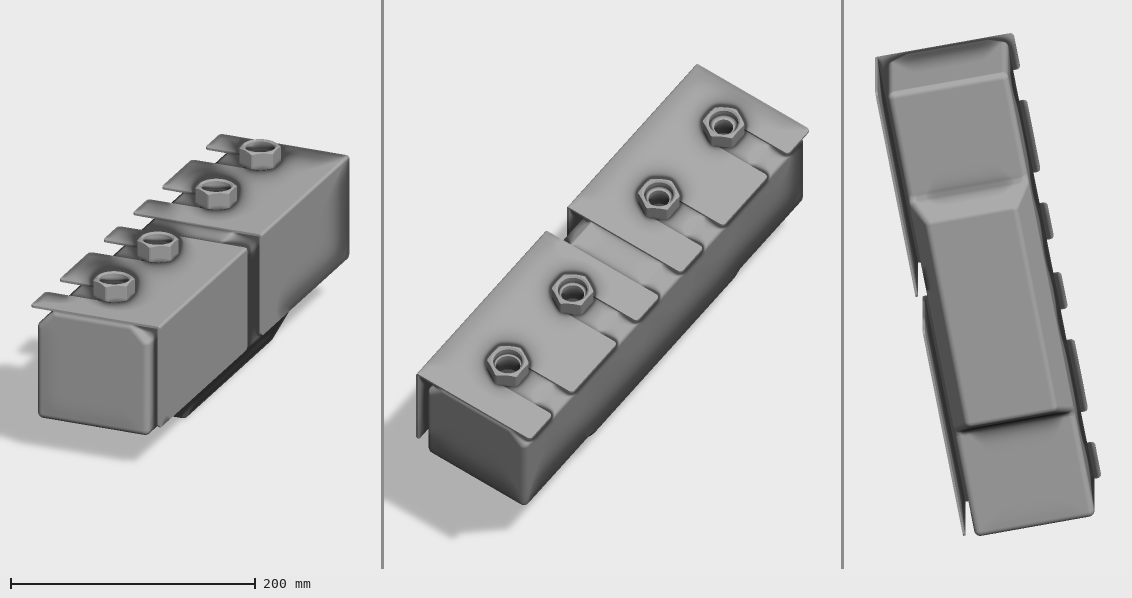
import cadquery as cq
import math

housing_length = 390.0
housing_width = 100.0
housing_top = 125.0
top_chamfer = 15.0
edge_round = 5.0

sump_depth = 27.3
sump_length = 204.5
sump_base_length = 179.8
sump_base_width = 74.5

sheet = 2.0
bracket_length = 180.0
bracket_left = -55.0
bracket_right = 60.0
leg_height = 90.0
bend_radius = 2.5
corner_radius = 3.0
slot_width = 27.3

fitting_inset = 45.0
fitting_pitch = 90.0
hex_flats = 30.0
hex_rounding_diameter = 34.0
hex_height = 16.0
hex_face_diameter = 28.0
hex_bevel_angle = 30.0
counterbore_diameter = 24.0
counterbore_mouth = 27.0
counterbore_depth = 7.8
bore_diameters = [15.5, 17.0, 18.7, 20.3]
bore_depth_in_housing = 7.8

flange_top = housing_top + sheet
hex_top = flange_top + hex_height
bracket_offset = (housing_length - bracket_length) / 2
outer_fitting_y = housing_length / 2 - fitting_inset
inner_fitting_y = outer_fitting_y - fitting_pitch
fitting_places = [-outer_fitting_y, -inner_fitting_y, inner_fitting_y, outer_fitting_y]
fittings = list(zip(fitting_places, bore_diameters))


def make_housing():
    """Long box with sloped top edges, a tapered sump below and a blind bore under each fitting."""
    box_height = housing_top - sump_depth
    box = (
        cq.Workplane("XY", origin=(0, 0, sump_depth))
        .box(housing_width, housing_length, box_height, centered=(True, True, False))
        .faces(">Z").edges("|Y").chamfer(top_chamfer)
    )
    sump = (
        cq.Workplane("XY", origin=(0, 0, sump_depth))
        .rect(housing_width, sump_length)
        .workplane(offset=-sump_depth)
        .rect(sump_base_width, sump_base_length)
        .loft(ruled=True)
    )
    housing = box.union(sump).edges().fillet(edge_round)
    for y, bore in fittings:
        housing = housing.cut(
            cq.Workplane("XY", origin=(0, y, housing_top))
            .circle(bore / 2)
            .extrude(-bore_depth_in_housing)
        )
    return housing


def make_bracket(center_y):
    """Angle of sheet metal: a slotted top flange and a leg hanging beside the housing."""
    right_inner = bracket_right - sheet
    foot = flange_top - leg_height
    bracket = (
        cq.Workplane("XZ", origin=(0, center_y + bracket_length / 2, 0))
        .moveTo(bracket_left, housing_top)
        .lineTo(right_inner, housing_top)
        .lineTo(right_inner, foot)
        .lineTo(bracket_right, foot)
        .lineTo(bracket_right, flange_top)
        .lineTo(bracket_left, flange_top)
        .close()
        .extrude(bracket_length)
    )
    bracket = bracket.edges("|Y").edges(">X and >Z").fillet(bend_radius)
    for y in fitting_places:
        if abs(y - center_y) < bracket_length / 2:
            bracket = bracket.cut(make_slot(y))
    bracket = bracket.faces("<X").edges("|Z").fillet(corner_radius)
    return bracket.faces("<Z").edges("|X").fillet(corner_radius)


def make_slot(y):
    """Cutter for a slot open at the free edge, with a round end about the fitting axis."""
    straight = (
        cq.Workplane("XY", origin=(bracket_left / 2, y, housing_top))
        .box(-bracket_left, slot_width, sheet, centered=(True, True, False))
    )
    round_end = (
        cq.Workplane("XY", origin=(0, y, housing_top))
        .circle(slot_width / 2)
        .extrude(sheet)
    )
    return straight.union(round_end)


def make_hexagon(y):
    """Hexagon with its corners rounded and both ends bevelled."""
    prism = (
        cq.Workplane("XY", origin=(0, y, flange_top))
        .polygon(6, hex_flats, circumscribed=True)
        .extrude(hex_height)
    )
    corner_reach = hex_rounding_diameter / 2
    face_reach = hex_face_diameter / 2
    bevel_height = (corner_reach - face_reach) * math.tan(math.radians(hex_bevel_angle))
    envelope = (
        cq.Workplane("XZ", origin=(0, y, flange_top))
        .polyline([
            (0, 0),
            (face_reach, 0),
            (corner_reach, bevel_height),
            (corner_reach, hex_height - bevel_height),
            (face_reach, hex_height),
            (0, hex_height),
        ])
        .close()
        .revolve(360, (0, 0, 0), (0, 1, 0))
    )
    return prism.intersect(envelope)


def make_fitting(y, bore):
    """Hexagon on a round neck that fills the slot end, with a stepped bore."""
    neck = (
        cq.Workplane("XY", origin=(0, y, housing_top))
        .circle(slot_width / 2)
        .extrude(flange_top - housing_top)
    )
    step = hex_top - counterbore_depth
    countersink_depth = (counterbore_mouth - counterbore_diameter) / 2
    stepped_bore = (
        cq.Workplane("XZ", origin=(0, y, 0))
        .polyline([
            (0, housing_top),
            (bore / 2, housing_top),
            (bore / 2, step),
            (counterbore_diameter / 2, step),
            (counterbore_diameter / 2, hex_top - countersink_depth),
            (counterbore_mouth / 2, hex_top),
            (0, hex_top),
        ])
        .close()
        .revolve(360, (0, 0, 0), (0, 1, 0))
    )
    return make_hexagon(y).union(neck).cut(stepped_bore)


housing = make_housing()
brackets = [make_bracket(side * bracket_offset) for side in (-1, 1)]
hex_fittings = [make_fitting(y, bore) for y, bore in fittings]

result = cq.Compound.makeCompound(
    [housing.val()]
    + [bracket.val() for bracket in brackets]
    + [fitting.val() for fitting in hex_fittings]
)